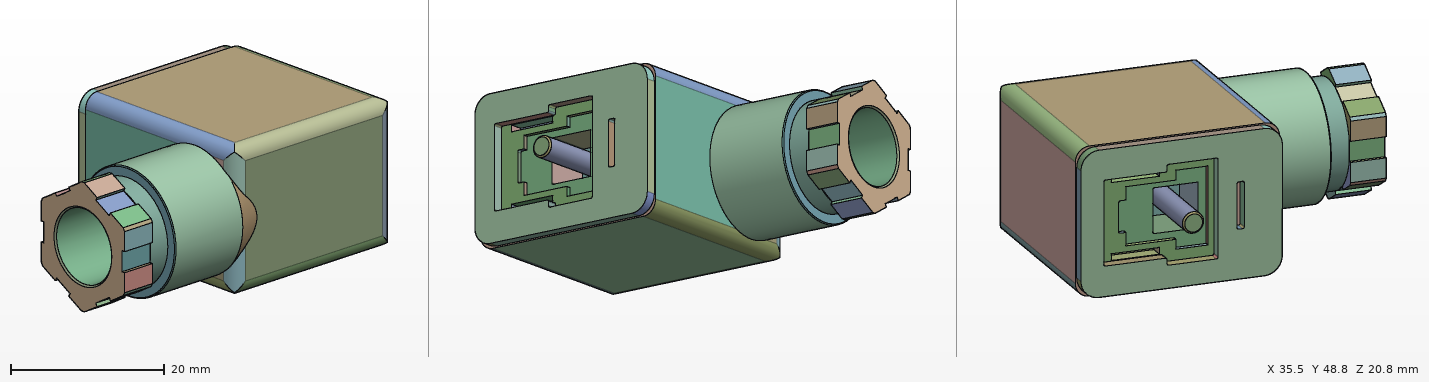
import cadquery as cq
import math


housing_back = 29.75
housing_width = 28.7
housing_height = 20.8
housing_edge_radius = 2.0
gasket_thickness = 1.5
gasket_inset = 0.2
gasket_corner_radius = 2.55

overall_length = 48.8
collar_diameter = 18.0
outlet_x = 22.25
shoulder_y = -14.2
shoulder_root_y = -10.25
collar_end_y = -26.35
collar_chamfer = 0.15
neck_diameter = 15.2
nut_length = 5.05
nut_across_flats = 15.85
grip_notch_width = 2.95
grip_notch_depth = 0.5
bore_diameter = 10.5
bore_chamfer = 0.25

pin_diameter = 3.0
pin_protrusion = 4.25
pin_chamfer = 0.25
well_side = 6.35
well_depth = 7.3

window_top_y = 10.95
window_step_y = 2.05
window_bottom_y = -5.1
window_narrow_half = 5.95
window_wide_half = 7.0
small_corner_radius = 0.25

relief_depth = 0.7
relief_tip_y = 8.25
relief_shoulder_y = 7.2
relief_step_y = 0.2
relief_bottom_y = -4.3
relief_tip_half = 2.25
relief_neck_half = 4.1
relief_wide_half = 5.45

side_slot_top_y = 9.25
side_slot_bottom_y = 2.55
side_slot_outer_z = 5.85
side_slot_inner_z = 4.95
side_slot_depth = 1.95
key_slot_center_y = -8.3
key_slot_width = 1.02
key_slot_height = 6.55

outlet_end_y = housing_width / 2 - overall_length
nut_start_y = outlet_end_y + nut_length
bore_end_y = -housing_width / 2
window_floor_x = gasket_thickness
well_floor_x = window_floor_x + well_depth


def on_x(x):
    """Sketch plane at the given X, with local axes Y and Z."""
    return cq.Workplane("YZ", origin=(x, 0, 0))


def on_outlet(y):
    """Sketch plane across the outlet axis, with local axes X and Z, extruding towards -Y."""
    return cq.Workplane("XZ", origin=(outlet_x, y, 0))


def box_between(x_start, x_end, y_low, y_high, z_low, z_high):
    """Rectangular block given by its limits."""
    size = (x_end - x_start, y_high - y_low, z_high - z_low)
    return cq.Workplane("XY", origin=(x_start, y_low, z_low)).box(*size, centered=False)


def stepped_block(x_start, x_end, steps):
    """Union of bands symmetric about Z = 0, each one (y_low, y_high, half_height)."""
    solid = None
    for y_low, y_high, half_height in steps:
        band = box_between(x_start, x_end, y_low, y_high, -half_height, half_height)
        solid = band if solid is None else solid.union(band)
    return solid.clean()


def make_housing():
    """Box with mitred round edges: three rounded prisms intersected."""
    length = housing_back - gasket_thickness
    center = (gasket_thickness + length / 2, 0, 0)

    def rounded_box(edges):
        box = cq.Workplane("XY", origin=center).box(length, housing_width, housing_height)
        return box.edges(edges).fillet(housing_edge_radius)

    along_x = rounded_box("|X")
    along_y = rounded_box("|Y and >X")
    along_z = rounded_box("|Z and >X")
    return along_x.intersect(along_y).intersect(along_z)


def make_gasket():
    width = housing_width - 2 * gasket_inset
    height = housing_height - 2 * gasket_inset
    plate = on_x(0).rect(width, height).extrude(gasket_thickness)
    return plate.edges("|X").fillet(gasket_corner_radius)


def make_collar():
    """Cylinder with a conical shoulder that dies into the back of the housing."""
    radius = collar_diameter / 2
    shoulder_root_radius = housing_back - outlet_x
    shoulder = (
        on_outlet(shoulder_root_y).circle(shoulder_root_radius)
        .workplane(offset=shoulder_root_y - shoulder_y).circle(radius)
        .loft(ruled=True)
    )
    collar = on_outlet(shoulder_y).circle(radius).extrude(shoulder_y - collar_end_y)
    collar = collar.faces("<Y").chamfer(collar_chamfer)
    return collar.union(shoulder)


def make_neck():
    return on_outlet(collar_end_y).circle(neck_diameter / 2).extrude(collar_end_y - nut_start_y)


def make_nut():
    """Hexagon nut with rounded corners and a grip notch in every flat."""
    across_corners = nut_across_flats / math.cos(math.pi / 6)
    hexagon = on_outlet(nut_start_y).transformed(rotate=(0, 0, 30)).polygon(6, across_corners)
    corner_round = on_outlet(nut_start_y).circle(collar_diameter / 2).extrude(nut_length)
    notches = (
        on_outlet(nut_start_y)
        .polarArray(nut_across_flats / 2, 0, 360, 6)
        .rect(2 * grip_notch_depth, grip_notch_width)
        .extrude(nut_length)
    )
    return hexagon.extrude(nut_length).intersect(corner_round).cut(notches)


def make_bore():
    bore = on_outlet(bore_end_y).circle(bore_diameter / 2).extrude(bore_end_y - outlet_end_y)
    mouth = (
        on_outlet(outlet_end_y).circle(bore_diameter / 2 + bore_chamfer)
        .workplane(offset=-bore_chamfer).circle(bore_diameter / 2)
        .loft(ruled=True)
    )
    return bore.union(mouth)


def make_window():
    """Stepped opening through the gasket, down to the front of the housing."""
    window = stepped_block(0, window_floor_x, [
        (window_bottom_y, window_step_y, window_wide_half),
        (window_step_y, window_top_y, window_narrow_half),
    ])
    return window.edges("|X").fillet(small_corner_radius)


def make_relief():
    """Shallow three-step recess in the floor of the window."""
    relief = stepped_block(window_floor_x, window_floor_x + relief_depth, [
        (relief_bottom_y, relief_step_y, relief_wide_half),
        (relief_step_y, relief_shoulder_y, relief_neck_half),
        (relief_shoulder_y, relief_tip_y, relief_tip_half),
    ])
    return relief.edges("|X and >Y").fillet(small_corner_radius)


def make_well():
    """Square well around the contact pin."""
    well = on_x(window_floor_x).rect(well_side, well_side).extrude(well_depth)
    return well.edges("|X and >Y").fillet(small_corner_radius)


def make_side_slots():
    slot = box_between(
        window_floor_x, window_floor_x + side_slot_depth,
        side_slot_bottom_y, side_slot_top_y,
        side_slot_inner_z, side_slot_outer_z,
    )
    return slot.union(slot.mirror("XY"))


def make_key_slot():
    slot = on_x(0).center(key_slot_center_y, 0).rect(key_slot_width, key_slot_height)
    return slot.extrude(gasket_thickness).edges("|X").fillet(small_corner_radius)


def make_pin():
    """Contact pin standing on the floor of the well."""
    pin = on_x(-pin_protrusion).circle(pin_diameter / 2).extrude(pin_protrusion + well_floor_x)
    return pin.faces("<X").chamfer(pin_chamfer)


body = make_housing()
for added in (make_gasket(), make_collar(), make_neck(), make_nut()):
    body = body.union(added)
for removed in (
    make_bore(), make_window(), make_relief(),
    make_well(), make_side_slots(), make_key_slot(),
):
    body = body.cut(removed)

result = body.union(make_pin())